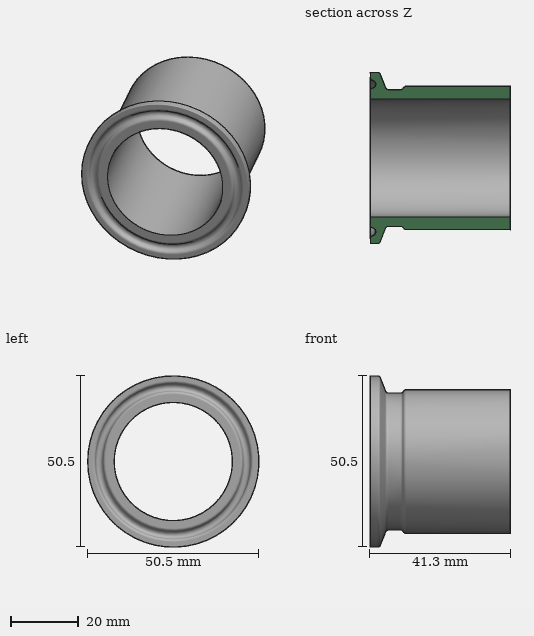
import cadquery as cq
import math

length = 41.3
flange_radius = 25.25
tube_radius = 21.2
neck_radius = 20.2
bore_radius = 17.35

rim_front_round = 0.2
rim_end = 2.25
rim_back_round = 0.8
neck_start = 5.45
neck_round = 0.95
slope_angle = math.radians(70)

neck_end = 9.05
tube_start = 10.7
step_concave_share = 0.43

groove_radius = 21.75
groove_half_width = 1.95
groove_lip_round = 0.85
groove_floor_round = 1.1
groove_wall_angle = math.radians(70)


def arc_point(center, radius, angle):
    """Point on a circle in the (X, radial) plane, angle measured from +X."""
    return (center[0] + radius * math.cos(angle), center[1] + radius * math.sin(angle))


def make_body():
    """Revolve the outer outline, including the flange, neck and tube."""
    quarter = math.pi / 2
    front_center = (rim_front_round, flange_radius - rim_front_round)
    rim_center = (rim_end, flange_radius - rim_back_round)
    slope_normal = quarter - slope_angle
    neck_center = (neck_start, neck_radius + neck_round)

    step_length = tube_start - neck_end
    step_height = tube_radius - neck_radius
    step_middle = (
        neck_end + step_concave_share * step_length,
        neck_radius + step_concave_share * step_height,
    )

    outline = (
        cq.Workplane("XY")
        .moveTo(0, bore_radius)
        .lineTo(0, front_center[1])
        .threePointArc(
            arc_point(front_center, rim_front_round, 1.5 * quarter),
            (rim_front_round, flange_radius),
        )
        .lineTo(rim_end, flange_radius)
        .threePointArc(
            arc_point(rim_center, rim_back_round, (quarter + slope_normal) / 2),
            arc_point(rim_center, rim_back_round, slope_normal),
        )
        .lineTo(*arc_point(neck_center, neck_round, math.pi + slope_normal))
        .threePointArc(
            arc_point(neck_center, neck_round, math.pi + (quarter + slope_normal) / 2),
            (neck_start, neck_radius),
        )
        .lineTo(neck_end, neck_radius)
        .tangentArcPoint(step_middle, relative=False)
        .tangentArcPoint((tube_start, tube_radius), relative=False)
        .lineTo(length, tube_radius)
        .lineTo(length, bore_radius)
        .close()
    )
    return outline.revolve(360, (0, 0, 0), (1, 0, 0))


def make_groove():
    """Ring with rounded lips, short sloping walls and a round floor."""
    lip_width = groove_lip_round * math.sin(groove_wall_angle)
    lip_depth = groove_lip_round * (1 - math.cos(groove_wall_angle))
    half_lip_width = groove_lip_round * math.sin(groove_wall_angle / 2)
    half_lip_depth = groove_lip_round * (1 - math.cos(groove_wall_angle / 2))
    floor_half_width = groove_floor_round * math.sin(groove_wall_angle)
    wall_width = groove_half_width - lip_width - floor_half_width
    floor_start = lip_depth + wall_width * math.tan(groove_wall_angle)
    depth = floor_start + groove_floor_round * (1 - math.cos(groove_wall_angle))

    outer = groove_radius + groove_half_width
    inner = groove_radius - groove_half_width
    outline = (
        cq.Workplane("XY")
        .moveTo(0, outer)
        .threePointArc((half_lip_depth, outer - half_lip_width), (lip_depth, outer - lip_width))
        .lineTo(floor_start, groove_radius + floor_half_width)
        .threePointArc((depth, groove_radius), (floor_start, groove_radius - floor_half_width))
        .lineTo(lip_depth, inner + lip_width)
        .threePointArc((half_lip_depth, inner + half_lip_width), (0, inner))
        .close()
    )
    return outline.revolve(360, (0, 0, 0), (1, 0, 0))


result = make_body().cut(make_groove())